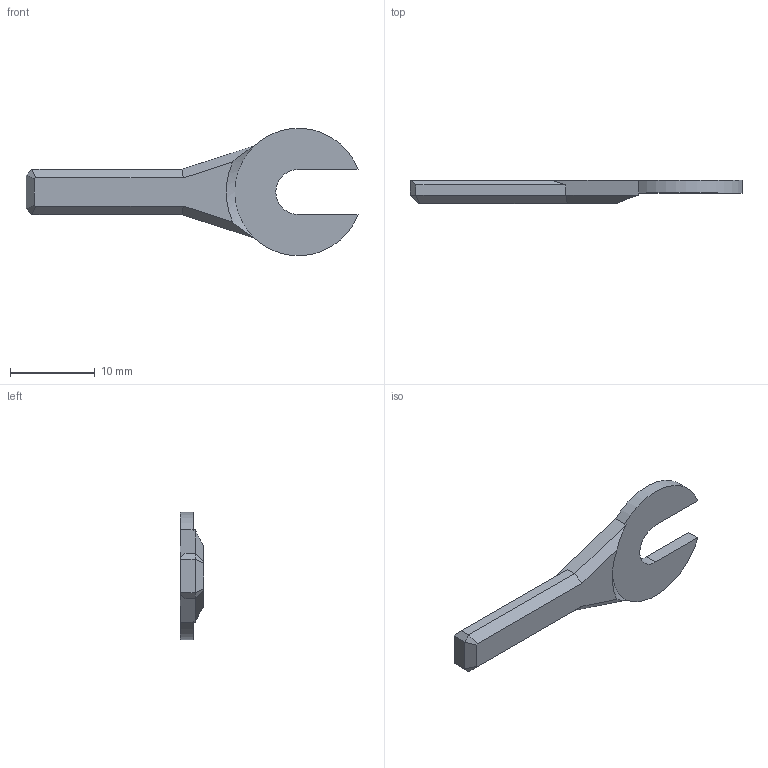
import cadquery as cq
import math

head_radius = 7.5
head_thickness = 1.5
slot_width = 5.3

handle_end_x = -32.05
handle_width = 5.3
handle_thickness = 2.75
front_chamfer = 1.0
back_chamfer = 0.55
corner_chamfer = 0.7

neck_start_x = -13.7
neck_half_angle = math.radians(18.1)

neck_apex_x = neck_start_x - handle_width / 2 / math.tan(neck_half_angle)

neck_end_angle = math.asin(-neck_apex_x * math.sin(neck_half_angle) / head_radius) - neck_half_angle
neck_end_x = -head_radius * math.cos(neck_end_angle)
neck_end_half_width = head_radius * math.sin(neck_end_angle)


def make_handle():
    """Bar with chamfered end corners, front rim and long back edges."""
    length = neck_end_x - handle_end_x
    return (
        cq.Workplane("XZ")
        .center(handle_end_x + length / 2, 0)
        .rect(length, handle_width)
        .extrude(handle_thickness)
        .edges("|Y and <X")
        .chamfer(corner_chamfer)
        .faces("<Y")
        .edges("not >X")
        .chamfer(front_chamfer)
        .faces(">Y")
        .edges("|X")
        .chamfer(back_chamfer)
    )


def make_neck():
    """Wedge widening from the handle to the head, chamfered along its front sides."""
    return (
        cq.Workplane("XZ")
        .moveTo(neck_apex_x, 0)
        .lineTo(neck_end_x, neck_end_half_width)
        .lineTo(neck_end_x, -neck_end_half_width)
        .close()
        .extrude(handle_thickness)
        .faces("<Y")
        .edges("not >X")
        .chamfer(front_chamfer)
    )


def make_head_clearance():
    """Round space in front of the head, flaring at 45 degrees through the chamfer depth."""
    flare_start_y = -(handle_thickness - front_chamfer)
    return (
        cq.Workplane("XY")
        .moveTo(0, -head_thickness)
        .lineTo(head_radius, -head_thickness)
        .lineTo(head_radius, flare_start_y)
        .lineTo(head_radius + front_chamfer, -handle_thickness)
        .lineTo(0, -handle_thickness)
        .close()
        .revolve(360, (0, 0, 0), (0, 1, 0))
    )


def make_head():
    """Flat round head."""
    return cq.Workplane("XZ").circle(head_radius).extrude(head_thickness)


def make_jaw_slot():
    """Slot with a round bottom centred in the head, open towards +X."""
    round_bottom = cq.Workplane("XZ").circle(slot_width / 2).extrude(head_thickness)
    opening = (
        cq.Workplane("XZ")
        .center(head_radius / 2, 0)
        .rect(head_radius, slot_width)
        .extrude(head_thickness)
    )
    return round_bottom.union(opening)


shank = make_handle().union(make_neck()).cut(make_head_clearance())
result = shank.union(make_head()).cut(make_jaw_slot())